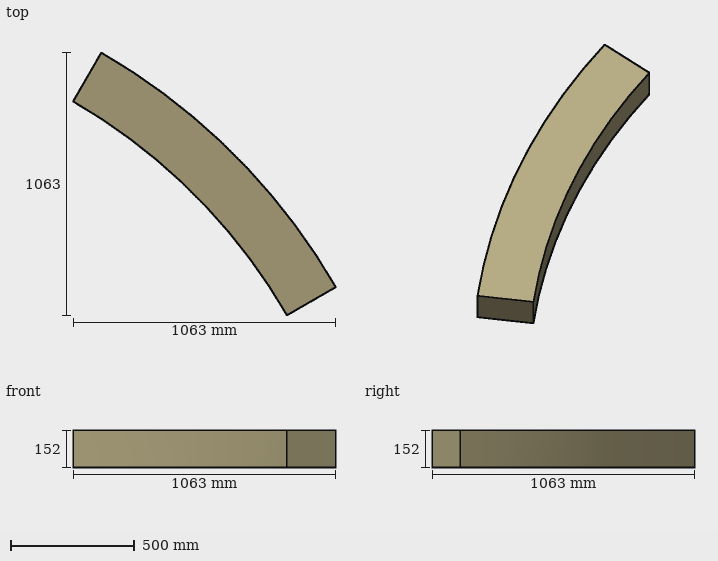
import cadquery as cq
import math

overall_size = 1063.0
radial_width = 229.0
height = 152.0
start_angle = 30.0
end_angle = 90.0 - start_angle
middle_angle = (start_angle + end_angle) / 2

start_cosine = math.cos(math.radians(start_angle))
end_cosine = math.cos(math.radians(end_angle))
outer_radius = (overall_size - radial_width * end_cosine) / (start_cosine - end_cosine)
inner_radius = outer_radius - radial_width


def ring_point(radius, angle):
    """Point at the given radius and angle in degrees."""
    radians = math.radians(angle)
    return (radius * math.cos(radians), radius * math.sin(radians))


result = (
    cq.Workplane("XY")
    .moveTo(*ring_point(inner_radius, start_angle))
    .lineTo(*ring_point(outer_radius, start_angle))
    .threePointArc(ring_point(outer_radius, middle_angle), ring_point(outer_radius, end_angle))
    .lineTo(*ring_point(inner_radius, end_angle))
    .threePointArc(ring_point(inner_radius, middle_angle), ring_point(inner_radius, start_angle))
    .close()
    .extrude(height)
)